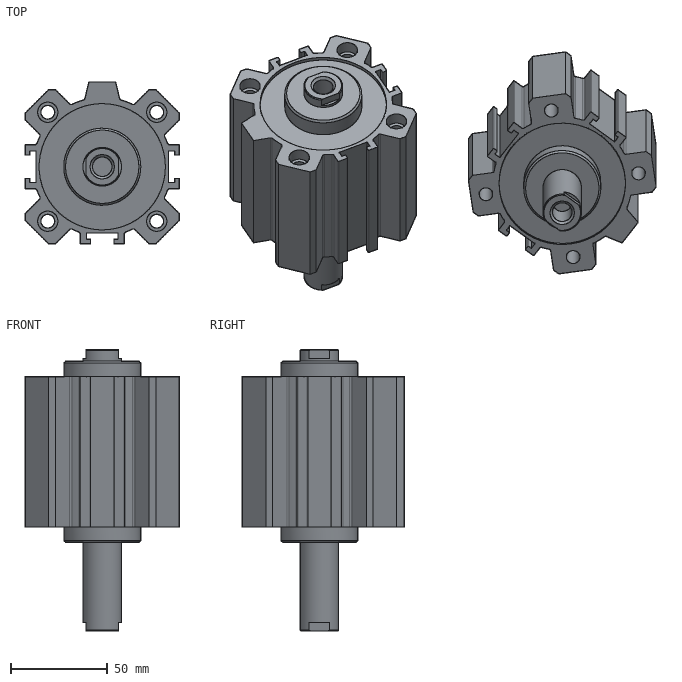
import cadquery as cq
import math

housing_length = 78.0
collar_height = 8.0
upper_rod_reach = 6.0
lower_rod_reach = 46.0

half_width = 40.0
barrel_radius = 36.0
lug_outer_sum = 67.8
lug_side_offset = 15.7
lug_root_fillet = 1.0
rail_root_fillet = 1.0
lug_side_limit = 14.0
corner_tolerance = 0.01

rail_half_width = 11.5
slot_floor = 34.4
slot_half_width = 8.1
mouth_half_width = 6.0
lip_thickness = 2.5
rail_tip_fillet = 0.3
slot_sides = (-90, 0, 90)

port_block_top = 44.0
port_block_half_top = 6.95
port_block_half_base = 9.4
port_block_base = 34.0

hole_pitch = 56.5
hole_diameter = 7.0
counterbore_diameter = 10.5
counterbore_depth = 7.0

cover_diameter = 65.5
cover_recess = 2.0
collar_diameter = 40.0
collar_chamfer = 1.0

rod_diameter = 20.0
rod_chamfer = 0.5
flat_width = 17.0
flat_length = 4.5
thread_hole_diameter = 10.11
thread_mouth_diameter = 12.6
thread_hole_depth = 20.0


def prism(points):
    """Extrude an outline over the housing length."""
    return cq.Workplane("XY").polyline(points).close().extrude(housing_length)


def mirrored(points):
    """Complete an outline from its +X half, listed from one Y end to the other."""
    return points + [(-x, y) for x, y in reversed(points)]


def corner_lugs():
    """Two crossed diagonal bars with their tips trimmed to the square outline."""
    bar_width = lug_side_offset * math.sqrt(2)
    bar_length = lug_outer_sum * math.sqrt(2)
    square = cq.Workplane("XY").rect(2 * half_width, 2 * half_width).extrude(housing_length)
    bar = cq.Workplane("XY").rect(bar_length, bar_width).extrude(housing_length)
    axis = ((0, 0, 0), (0, 0, 1))
    return bar.rotate(*axis, 45).union(bar.rotate(*axis, -45)).intersect(square)


def slot_rail(angle):
    """Solid rail that carries a T-slot, on the side at the given angle from -Y."""
    root = barrel_radius / 2
    rail = prism(mirrored([(rail_half_width, -half_width), (rail_half_width, -root)]))
    return rail.rotate((0, 0, 0), (0, 0, 1), angle)


def t_slot(angle):
    """T-slot cutter: a narrow mouth between the lips and a wider undercut behind them."""
    lip_inside = half_width - lip_thickness
    slot = prism(mirrored([
        (mouth_half_width, -half_width),
        (mouth_half_width, -lip_inside),
        (slot_half_width, -lip_inside),
        (slot_half_width, -slot_floor),
    ]))
    return slot.rotate((0, 0, 0), (0, 0, 1), angle)


def port_block():
    """Tapered block along the +Y side."""
    return prism(mirrored([
        (port_block_half_base, port_block_base),
        (port_block_half_top, port_block_top),
    ]))


def root_edges(profile, is_lug_root):
    """Vertical edges on the barrel surface, either at the lugs or at the rails and block."""
    def on_barrel(edge):
        centre = edge.Center()
        radius = math.hypot(centre.x, centre.y)
        at_lug = min(abs(centre.x), abs(centre.y)) > lug_side_limit
        return abs(radius - barrel_radius) < corner_tolerance and at_lug == is_lug_root
    return profile.edges("|Z").filter(on_barrel)


def rail_tip_edges(profile):
    """Vertical edges at the three outward corners of every rail lip."""
    tip_corners = [
        (rail_half_width, half_width),
        (mouth_half_width, half_width),
        (mouth_half_width, half_width - lip_thickness),
    ]

    def on_tip(edge):
        centre = edge.Center()
        across, outward = sorted((abs(centre.x), abs(centre.y)))
        return any(math.hypot(across - x, outward - y) < corner_tolerance for x, y in tip_corners)
    return profile.edges("|Z").filter(on_tip)


def profile_body():
    """Barrel with four corner lugs, three T-slot rails and the port block."""
    body = cq.Workplane("XY").circle(barrel_radius).extrude(housing_length)
    body = body.union(corner_lugs()).union(port_block())
    for angle in slot_sides:
        body = body.union(slot_rail(angle))
    body = root_edges(body, True).fillet(lug_root_fillet)
    body = root_edges(body, False).fillet(rail_root_fillet)
    for angle in slot_sides:
        body = body.cut(t_slot(angle))
    return rail_tip_edges(body).fillet(rail_tip_fillet)


def end_cover_features(body):
    """Sink a round cover into each end and raise a chamfered collar on it."""
    collar = (
        cq.Workplane("XY").workplane(offset=-collar_height)
        .circle(collar_diameter / 2).extrude(housing_length + 2 * collar_height)
        .faces("<Z or >Z").chamfer(collar_chamfer)
    )
    for start in (0, housing_length - cover_recess):
        recess = cq.Workplane("XY").workplane(offset=start).circle(cover_diameter / 2).extrude(cover_recess)
        body = body.cut(recess)
    return body.union(collar)


def mounting_holes(body):
    """Through holes in the lugs, counterbored from the top."""
    top = cq.Workplane("XY").workplane(offset=housing_length)
    centres = top.rect(hole_pitch, hole_pitch, forConstruction=True).vertices()
    holes = centres.circle(hole_diameter / 2).extrude(-housing_length)
    counterbores = centres.circle(counterbore_diameter / 2).extrude(-counterbore_depth)
    return body.cut(holes).cut(counterbores)


def make_housing():
    """Cylinder housing with its end collars, bored for the rod."""
    housing = mounting_holes(end_cover_features(profile_body()))
    bore = (
        cq.Workplane("XY").workplane(offset=-collar_height)
        .circle(rod_diameter / 2).extrude(housing_length + 2 * collar_height)
    )
    return housing.cut(bore)


def wrench_flats(start):
    """Two side blocks that leave a pair of flats across X."""
    clearance = 2 * rod_diameter
    plane = cq.Workplane("XY").workplane(offset=start)
    block = plane.rect(clearance, clearance).extrude(flat_length)
    core = plane.rect(flat_width, clearance).extrude(flat_length)
    return block.cut(core)


def thread_hole():
    """Blind hole below z = 0 with a 45 degree countersunk mouth."""
    hole_radius = thread_hole_diameter / 2
    mouth_radius = thread_mouth_diameter / 2
    return (
        cq.Workplane("XZ")
        .polyline([
            (0, 0),
            (mouth_radius, 0),
            (hole_radius, hole_radius - mouth_radius),
            (hole_radius, -thread_hole_depth),
            (0, -thread_hole_depth),
        ])
        .close().revolve(360, (0, 0, 0), (0, 1, 0))
    )


def make_rod():
    """Through rod with chamfers, wrench flats and a threaded-size hole at each end."""
    bottom = -collar_height - lower_rod_reach
    top = housing_length + collar_height + upper_rod_reach
    rod = (
        cq.Workplane("XY").workplane(offset=bottom).circle(rod_diameter / 2).extrude(top - bottom)
        .faces("<Z or >Z").chamfer(rod_chamfer)
    )
    rod = rod.cut(wrench_flats(bottom))
    rod = rod.cut(wrench_flats(top - flat_length))
    upper_hole = thread_hole().translate((0, 0, top))
    lower_hole = thread_hole().mirror("XY").translate((0, 0, bottom))
    return rod.cut(upper_hole).cut(lower_hole)


housing = make_housing()
rod = make_rod()
result = cq.Compound.makeCompound([housing.val(), rod.val()])